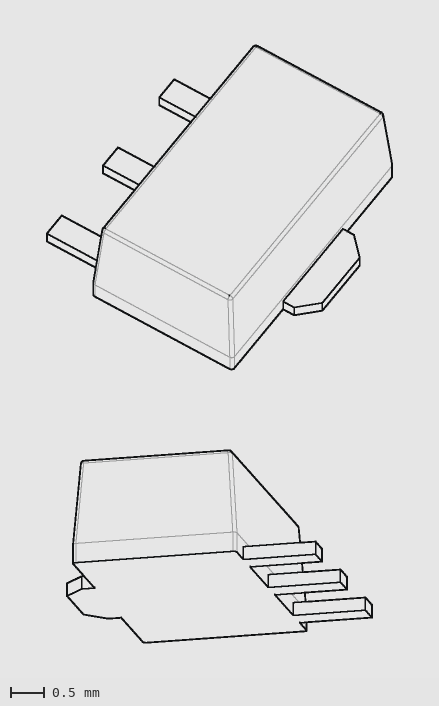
import cadquery as cq

body_width = 2.5
body_length = 4.3
body_height = 1.61
band_height = 0.3
draft_inset = 0.1
edge_radius = 0.05

metal_thickness = 0.198
lead_reach = 1.1
lead_width = 0.4
lead_pitch = 1.5
tab_reach = 0.5
tab_width = 1.6
tab_corner = 0.3

draft_height = body_height - band_height


def make_body():
    band = cq.Workplane("XY").box(body_width, body_length, band_height, centered=(True, True, False))
    drafted_top = (
        cq.Workplane("XY")
        .workplane(offset=band_height)
        .rect(body_width, body_length)
        .workplane(offset=draft_height)
        .rect(body_width - 2 * draft_inset, body_length - 2 * draft_inset)
        .loft(ruled=True)
    )
    body = band.union(drafted_top)
    body = body.edges("not(#Z)").fillet(edge_radius)
    return body.faces(">Z").edges().fillet(edge_radius)


def make_lead(y_center):
    length = body_width / 2 + lead_reach
    return (
        cq.Workplane("XY")
        .box(length, lead_width, metal_thickness, centered=(True, True, False))
        .translate((-length / 2, y_center, 0))
    )


def make_tab():
    length = body_width / 2 + tab_reach
    return (
        cq.Workplane("XY")
        .box(length, tab_width, metal_thickness, centered=(False, True, False))
        .edges("|Z and >X")
        .chamfer(tab_corner)
    )


result = make_body().union(make_tab())
for position in (-1, 0, 1):
    result = result.union(make_lead(position * lead_pitch))